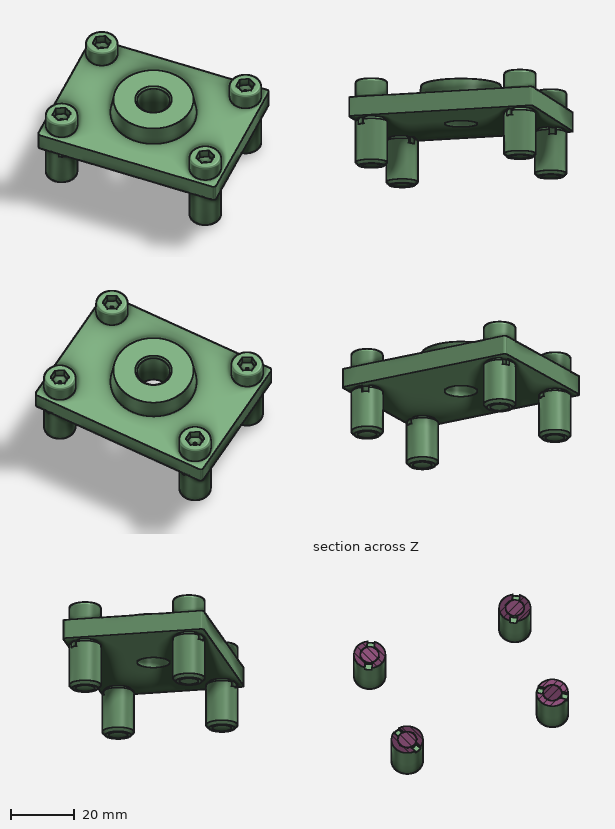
import cadquery as cq

plate_length = 60.0
plate_width = 45.0
plate_thickness = 6.0
plate_corner_radius = 1.0

boss_base_diameter = 27.0
boss_top_diameter = 25.0
boss_height = 6.0

bore_diameter = 10.25
bore_chamfer = 0.6

pitch_x = 48.5
pitch_y = 33.2

shank_diameter = 6.0
head_diameter = 10.0
head_height = boss_height
head_fillet = 1.0
socket_across_flats = 5.0
socket_depth = 2.8
center_mark_diameter = 1.0
center_mark_depth = 0.5

insert_diameter = 10.0
insert_length = 15.0
insert_chamfer = 1.0
slot_width = 2.2
slot_depth = 2.4

stations = [
    (-1, -1, 114.5),
    (1, -1, 144.5),
    (-1, 1, 64.0),
    (1, 1, 64.0),
]


def station_point(side_x, side_y):
    return (side_x * pitch_x / 2, side_y * pitch_y / 2)


def make_plate():
    plate_top = plate_thickness
    boss_top = plate_top + boss_height
    slab = (
        cq.Workplane("XY")
        .rect(plate_length, plate_width)
        .extrude(plate_thickness)
        .edges("|Z")
        .fillet(plate_corner_radius)
    )
    boss = (
        cq.Workplane("XY", origin=(0, 0, plate_top))
        .circle(boss_base_diameter / 2)
        .workplane(offset=boss_height)
        .circle(boss_top_diameter / 2)
        .loft()
    )
    bore = cq.Workplane("XY").circle(bore_diameter / 2).extrude(boss_top)
    screw_holes = (
        cq.Workplane("XY")
        .pushPoints([station_point(side_x, side_y) for side_x, side_y, _ in stations])
        .circle(shank_diameter / 2)
        .extrude(plate_thickness)
    )
    body = slab.union(boss).cut(bore).cut(screw_holes)
    bore_rim = cq.selectors.RadiusNthSelector(0)
    return body.faces(">Z").edges(bore_rim).chamfer(bore_chamfer)


def make_screw():
    """Socket head screw on the Z axis, its shank ending level with the insert's lower end."""
    head_bottom = plate_thickness
    head_top = head_bottom + head_height
    socket_floor = head_top - socket_depth
    head = (
        cq.Workplane("XY", origin=(0, 0, head_bottom))
        .circle(head_diameter / 2)
        .extrude(head_height)
        .edges()
        .fillet(head_fillet)
    )
    shank = (
        cq.Workplane("XY", origin=(0, 0, -insert_length))
        .circle(shank_diameter / 2)
        .extrude(insert_length + head_bottom)
    )
    socket = (
        cq.Workplane("XY", origin=(0, 0, socket_floor))
        .polygon(6, socket_across_flats, circumscribed=True)
        .extrude(socket_depth)
    )
    center_mark = (
        cq.Workplane("XY", origin=(0, 0, socket_floor - center_mark_depth))
        .circle(center_mark_diameter / 2)
        .extrude(center_mark_depth)
    )
    return head.union(shank).cut(socket).cut(center_mark)


def make_insert(slot_angle):
    """Insert on the Z axis, with a screwdriver slot right across its upper end."""
    sleeve = (
        cq.Workplane("XY", origin=(0, 0, -insert_length))
        .circle(insert_diameter / 2)
        .extrude(insert_length)
    )
    sleeve = sleeve.faces("<Z or >Z").chamfer(insert_chamfer)
    bore = (
        cq.Workplane("XY", origin=(0, 0, -insert_length))
        .circle(shank_diameter / 2)
        .extrude(insert_length)
    )
    slot = (
        cq.Workplane("XY", origin=(0, 0, -slot_depth))
        .transformed(rotate=(0, 0, slot_angle))
        .rect(insert_diameter, slot_width)
        .extrude(slot_depth)
    )
    return sleeve.cut(bore).cut(slot)


plate = make_plate()
screws = []
inserts = []
for side_x, side_y, slot_angle in stations:
    location = (*station_point(side_x, side_y), 0)
    screws.append(make_screw().translate(location))
    inserts.append(make_insert(slot_angle).translate(location))

result = cq.Compound.makeCompound(
    [
        plate.val(),
        *[screw.val() for screw in screws],
        *[insert.val() for insert in inserts],
    ]
)